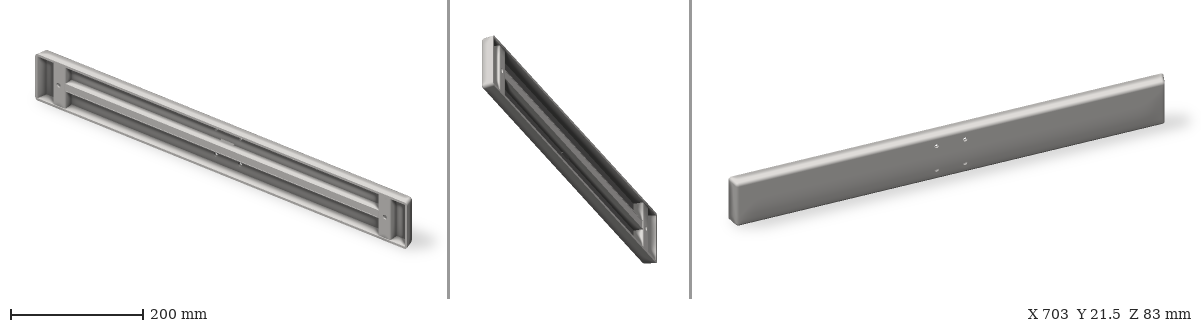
import cadquery as cq
import math

LENGTH = 703.0
DEPTH = 21.5
HEIGHT = 83.0
END_SLOPE = math.radians(15.0)
OUTER_RADIUS = 5.0

SIDE_WALL = 4.0
END_WALL = 4.0
FLOOR_THICKNESS = 4.5
FLOOR_Y = DEPTH - FLOOR_THICKNESS
CAVITY_HEIGHT = HEIGHT - 2 * SIDE_WALL

BAR_FRONT_Y = 1.5
BAR_INNER_X = 295.5
BAR_WIDTH = 23.7
BAR_CENTER_X = BAR_INNER_X + BAR_WIDTH / 2
BAR_FILLET = 2.5
BAR_HOLE_X = 308.5
BAR_HOLE_DIAMETER = 7.5
BAR_HOLE_DEPTH = 3.0

RIB_FRONT_Y = 2.0
RIB_HEIGHT = 14.0
RIB_LENGTH = 2 * (BAR_INNER_X + BAR_FILLET)
RIB_BORDER = 1.2
RECESS_DEPTH = 0.5
RECESS_LENGTH = 2 * (BAR_INNER_X - RIB_BORDER)

FOOT_LENGTH = 25.0
FOOT_SIZE = 2.5

HOLE_SPACING = 46.0
HOLE_DIAMETER = 7.0


def block(x_size, z_size, y_front, y_back):
    """Box centred on X and Z that spans y_front to y_back."""
    box = cq.Workplane("XY").box(x_size, y_back - y_front, z_size)
    return box.translate((0, (y_front + y_back) / 2, 0))


def tapered_block(front_length, depth, height):
    """Block from y = 0 whose two ends lean inward toward +Y."""
    front_x = front_length / 2
    back_x = front_x - depth * math.tan(END_SLOPE)
    outline = [(-front_x, 0), (front_x, 0), (back_x, depth), (-back_x, depth)]
    prism = cq.Workplane("XY").polyline(outline).close().extrude(height)
    return prism.translate((0, 0, -height / 2))


def make_tray():
    outer = tapered_block(LENGTH, DEPTH, HEIGHT)
    outer = outer.faces("not <Y").edges("not <Y").fillet(OUTER_RADIUS)
    cavity = tapered_block(LENGTH - 2 * END_WALL, FLOOR_Y, CAVITY_HEIGHT)
    return outer.cut(cavity)


def make_cross_bar(side):
    """Cross bar with a blind hole; side is -1 or +1 along X."""
    bar = block(BAR_WIDTH, CAVITY_HEIGHT, BAR_FRONT_Y, FLOOR_Y)
    bar = bar.faces("<Y").edges("|Z").fillet(BAR_FILLET)
    bar = bar.translate((side * BAR_CENTER_X, 0, 0))
    hole = (
        cq.Workplane("XZ", origin=(side * BAR_HOLE_X, BAR_FRONT_Y, 0))
        .circle(BAR_HOLE_DIAMETER / 2)
        .extrude(-BAR_HOLE_DEPTH)
    )
    return bar.cut(hole)


def make_rib():
    """Rib with a shallow recess in its front face."""
    rib = block(RIB_LENGTH, RIB_HEIGHT, RIB_FRONT_Y, FLOOR_Y)
    recess = block(
        RECESS_LENGTH,
        RIB_HEIGHT - 2 * RIB_BORDER,
        RIB_FRONT_Y,
        RIB_FRONT_Y + RECESS_DEPTH,
    )
    return rib.cut(recess)


def make_rib_foot():
    """Trapezoid under the rib that slopes out to the floor on both sides."""
    top_z = RIB_HEIGHT / 2
    base_z = top_z + FOOT_SIZE
    top_y = FLOOR_Y - FOOT_SIZE
    outline = [(top_y, -top_z), (FLOOR_Y, -base_z), (FLOOR_Y, base_z), (top_y, top_z)]
    foot = cq.Workplane("YZ").polyline(outline).close().extrude(FOOT_LENGTH)
    return foot.translate((-FOOT_LENGTH / 2, 0, 0))


def make_mounting_holes():
    return (
        cq.Workplane("XZ")
        .rect(HOLE_SPACING, HOLE_SPACING, forConstruction=True)
        .vertices()
        .circle(HOLE_DIAMETER / 2)
        .extrude(-DEPTH)
    )


result = make_tray().union(make_rib()).union(make_rib_foot())
for bar_side in (-1, 1):
    result = result.union(make_cross_bar(bar_side))
result = result.cut(make_mounting_holes())